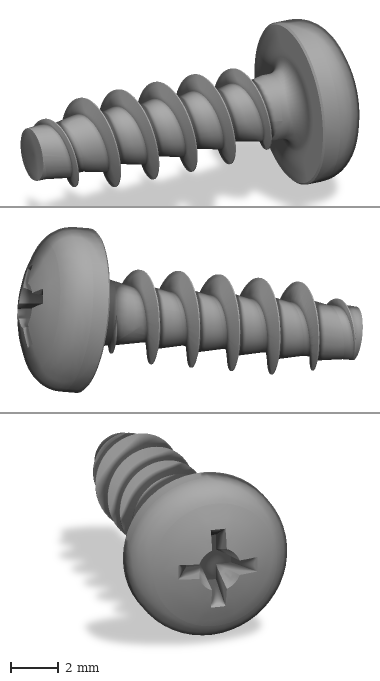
import math

import cadquery as cq


head_radius = 3.5
head_height = 2.65
rim_break = 0.08
rim_height = 0.77
shoulder_radius = 2.75
shoulder_height = 2.0
shoulder_corner_radius = 1.38

recess_depth = 1.6
recess_wing_length = 3.7
recess_wing_width = 0.65
recess_core_radius = 0.95
recess_core_floor_radius = 0.475
recess_wing_taper = 28.0

length = 12.0
core_radius = 1.12
neck_radius = 1.41
neck_length = 0.96
neck_fillet = 0.6
neck_cone_length = 1.4
tip_dish_radius = 1.04
tip_dish_depth = 0.06

pitch = 1.79
crest_radius = 2.02
crest_land = 0.05
flank_slope = math.tan(math.radians(18.0))
root_radius = 0.95
step_radius = 1.34
tail_radius = 1.09
tail_gap = 0.01
last_crest_radius = 1.15
last_step_radius = 1.14
first_crest_radius = 1.58
first_crest_depth = 0.80
lead_in_turns = 1.0
full_turns = 3.75
lead_out_turns = 1.5
points_per_turn = 24


def make_head():
    """Pan head: rim with a broken edge, rounded shoulder and a shallow spherical crown.

    The crown reaches the head height at the mouth of the recess core.
    """
    crown_drop = head_height - shoulder_height
    crown_run = shoulder_radius**2 - recess_core_radius**2
    centre_below_top = (crown_run - crown_drop**2) / (2 * crown_drop) + crown_drop
    crown_radius = math.hypot(recess_core_radius, centre_below_top)
    apex = head_height - centre_below_top + crown_radius
    return (
        cq.Workplane("XY")
        .moveTo(0, 0)
        .lineTo(head_radius - rim_break, 0)
        .lineTo(head_radius, rim_break)
        .lineTo(head_radius, rim_height)
        .radiusArc((shoulder_radius, shoulder_height), -shoulder_corner_radius)
        .radiusArc((0, apex), -crown_radius)
        .close()
        .revolve(360, (0, 0, 0), (0, 1, 0))
    )


def make_recess():
    """Cross recess: two crossing wings and a round core, all narrowing towards the floor."""
    clearance = head_height
    mouth = cq.Workplane("XZ", origin=(0, head_height, 0))
    core_inset = recess_core_radius - recess_core_floor_radius
    core_taper = math.degrees(math.atan2(core_inset, recess_depth))
    recess = mouth.circle(recess_core_radius).extrude(recess_depth, taper=core_taper)
    recess = recess.union(mouth.circle(recess_core_radius).extrude(-clearance))
    wing_half = recess_wing_length / 2
    floor_half = wing_half - recess_depth * math.tan(math.radians(recess_wing_taper))
    wing = (
        cq.Workplane("XY")
        .polyline(
            [
                (-wing_half, head_height + clearance),
                (-wing_half, head_height),
                (-floor_half, head_height - recess_depth),
                (floor_half, head_height - recess_depth),
                (wing_half, head_height),
                (wing_half, head_height + clearance),
            ]
        )
        .close()
        .extrude(recess_wing_width / 2, both=True)
    )
    return recess.union(wing).union(wing.rotate((0, 0, 0), (0, 1, 0), 90))


def make_shank():
    """Filleted neck, a cone down to the thread core, and the plain core with a dished tip."""
    return (
        cq.Workplane("XY")
        .moveTo(0, rim_break)
        .lineTo(neck_radius + neck_fillet, rim_break)
        .lineTo(neck_radius + neck_fillet, 0)
        .radiusArc((neck_radius, -neck_fillet), -neck_fillet)
        .lineTo(neck_radius, -neck_length)
        .lineTo(core_radius, -neck_length - neck_cone_length)
        .lineTo(core_radius, -length)
        .lineTo(tip_dish_radius, -length)
        .lineTo(0, -length + tip_dish_depth)
        .close()
        .revolve(360, (0, 0, 0), (0, 1, 0))
    )


def section(crest, step):
    """Corners (radius, offset towards the tip) of one thread section.

    A tooth stands on a long ramp that falls from `step`, beside the tooth, into the core.
    """
    half_land = crest_land / 2
    return [
        (root_radius, -half_land - flank_slope * (crest - root_radius)),
        (crest, -half_land),
        (crest, half_land),
        (step, half_land + flank_slope * (crest - step)),
        (tail_radius, pitch - half_land - flank_slope * (crest - tail_radius) - tail_gap),
    ]


def helix(first_corner, last_corner, first_turn, turns):
    """Helix whose radius and offset change evenly; turn 0 lies on the -X side."""
    count = round(turns * points_per_turn)
    points = []
    for i in range(count + 1):
        share = i / count
        turn = first_turn + share * turns
        radius = first_corner[0] + share * (last_corner[0] - first_corner[0])
        offset = first_corner[1] + share * (last_corner[1] - first_corner[1])
        angle = math.pi + 2 * math.pi * turn
        depth = first_crest_depth + pitch * turn + offset
        points.append(cq.Vector(radius * math.cos(angle), -depth, radius * math.sin(angle)))
    return cq.Edge.makeSpline(points)


def section_helices(first_section, last_section, first_turn, turns):
    """One helix along each corner of a section that changes evenly into another."""
    return [helix(a, b, first_turn, turns) for a, b in zip(first_section, last_section)]


def helical_faces(edges):
    """Ruled faces joining each helix to the next, all the way round the section."""
    return [cq.Face.makeRuledSurface(a, b) for a, b in zip(edges, edges[1:] + edges[:1])]


def end_face(edges, end):
    """Flat face closing the helices at their start (0) or finish (1)."""
    corners = [edge.positionAt(end) for edge in edges]
    return cq.Face.makeFromWires(cq.Wire.makePolygon(corners, close=True))


def make_thread():
    """Lead-in, full-height and lead-out stretches, trimmed between the neck and the tip."""
    start = section(first_crest_radius, step_radius)
    full = section(crest_radius, step_radius)
    finish = section(last_crest_radius, last_step_radius)
    lead_in = section_helices(start, full, 0, lead_in_turns)
    middle = section_helices(full, full, lead_in_turns, full_turns)
    lead_out = section_helices(full, finish, lead_in_turns + full_turns, lead_out_turns)
    faces = helical_faces(lead_in) + helical_faces(middle) + helical_faces(lead_out)
    faces += [end_face(lead_in, 0), end_face(lead_out, 1)]
    thread = cq.Workplane(cq.Solid.makeSolid(cq.Shell.makeShell(faces)))
    envelope = (
        cq.Workplane("XZ", origin=(0, -neck_length, 0))
        .circle(head_radius)
        .extrude(length - neck_length)
    )
    return thread.intersect(envelope)


head = make_head().cut(make_recess())
result = head.union(make_shank()).union(make_thread())